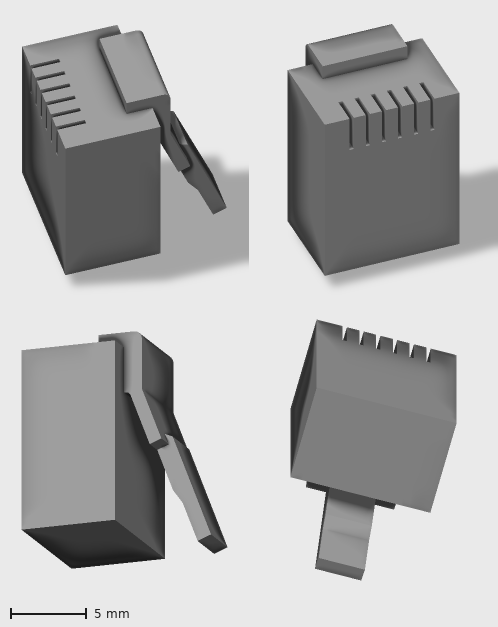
import cadquery as cq
import math

body_width = 9.6
body_depth = 6.6
body_height = 12.4

slot_count = 6
slot_pitch = 1.15
slot_width = 0.3
slot_depth = 2.0
slot_height = 2.55

root_width = (slot_count - 1) * slot_pitch + slot_width
root_rise = 1.05
root_front_y = 4.8
root_rear_y = 7.84
root_corner_radius = 0.55
root_bottom_z = 9.29
bend_z = 9.45

arm_angle = math.radians(21)
arm_thickness = 0.88
arm_length = 3.85
arm_fillet_radius = 0.35

lever_width = 3.17
lever_start = 3.05
lever_raise = 0.43
lever_length = 11.02
tip_thickness = 1.01
step_start = 6.95
step_end = 8.08


def arm_point(along, out):
    """(Y, Z) of a point given in the sloping frame of the latch arm."""
    y = root_rear_y + along * math.sin(arm_angle) + out * math.cos(arm_angle)
    z = bend_z - along * math.cos(arm_angle) + out * math.sin(arm_angle)
    return (y, z)


def extrude_across(points, width):
    """Extrude a (Y, Z) outline symmetrically about X = 0."""
    return cq.Workplane("YZ").polyline(points).close().extrude(width / 2, both=True)


def make_body():
    body = cq.Workplane("XY").box(body_width, body_depth, body_height, centered=(True, False, False))
    slot = cq.Workplane("XY").box(slot_width, slot_depth, slot_height, centered=(True, False, False))
    first_slot_x = -(slot_count - 1) * slot_pitch / 2
    for index in range(slot_count):
        slot_x = first_slot_x + index * slot_pitch
        body = body.cut(slot.translate((slot_x, 0, body_height - slot_height)))
    return body


def edge_at(point):
    """Selector for the edge nearest the given (Y, Z) point."""
    return cq.selectors.NearestToPointSelector((0, point[0], point[1]))


def make_root_and_arm():
    top_z = body_height + root_rise
    inner_along = (bend_z - root_bottom_z - arm_thickness * math.sin(arm_angle)) / math.cos(arm_angle)
    inner_corner = arm_point(inner_along, -arm_thickness)
    top_corner = (root_rear_y, top_z)
    outline = [
        (root_front_y, top_z),
        top_corner,
        (root_rear_y, bend_z),
        arm_point(arm_length, 0),
        arm_point(arm_length, -arm_thickness),
        inner_corner,
        (body_depth, root_bottom_z),
        (body_depth, body_height),
        (root_front_y, body_height),
    ]
    latch = extrude_across(outline, root_width)
    latch = latch.edges("|X").edges(edge_at(top_corner)).fillet(root_corner_radius)
    return latch.edges("|X").edges(edge_at(inner_corner)).fillet(arm_fillet_radius)


def make_lever():
    outline = [
        arm_point(lever_start, 0),
        arm_point(lever_start + lever_raise, lever_raise),
        arm_point(lever_length, lever_raise),
        arm_point(lever_length, lever_raise - tip_thickness),
        arm_point(step_end, lever_raise - tip_thickness),
        arm_point(step_start, -arm_thickness),
        arm_point(lever_start, -arm_thickness),
    ]
    return extrude_across(outline, lever_width)


result = make_body().union(make_root_and_arm()).union(make_lever())